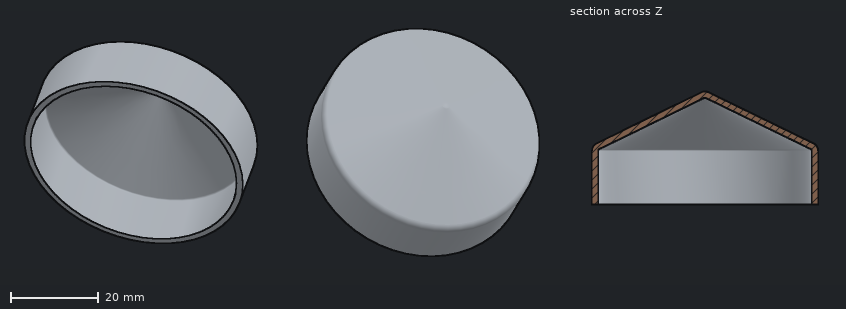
import math

import cadquery as cq

outer_diameter = 52.0
inner_diameter = 49.0
total_height = 26.0
skirt_height = 12.3
outer_rounding = 2.0

wall = (outer_diameter - inner_diameter) / 2
inner_rounding = outer_rounding - wall

shoulder_center_radius = outer_diameter / 2 - outer_rounding
tip_center_height = total_height - outer_rounding
cone_angle = math.atan2(tip_center_height - skirt_height, shoulder_center_radius)


def point_on_rounding(center_radius, center_height, rounding, angle):
    """Point at an angle around a rounding centre, measured up from the radial direction."""
    return (
        center_radius + rounding * math.cos(angle),
        center_height + rounding * math.sin(angle),
    )


def capped_cone(rounding):
    """Solid of skirt, rounded shoulder, cone and rounded tip, turned about the Y axis."""
    cone_normal = math.pi / 2 - cone_angle
    tip_middle = (cone_normal + math.pi / 2) / 2

    def shoulder(angle):
        return point_on_rounding(shoulder_center_radius, skirt_height, rounding, angle)

    def tip(angle):
        return point_on_rounding(0, tip_center_height, rounding, angle)

    return (
        cq.Workplane("XY")
        .lineTo(shoulder_center_radius + rounding, 0)
        .lineTo(*shoulder(0))
        .threePointArc(shoulder(cone_normal / 2), shoulder(cone_normal))
        .lineTo(*tip(cone_normal))
        .threePointArc(tip(tip_middle), (0, tip_center_height + rounding))
        .close()
        .revolve(360, (0, 0, 0), (0, 1, 0))
    )


result = capped_cone(outer_rounding).cut(capped_cone(inner_rounding))